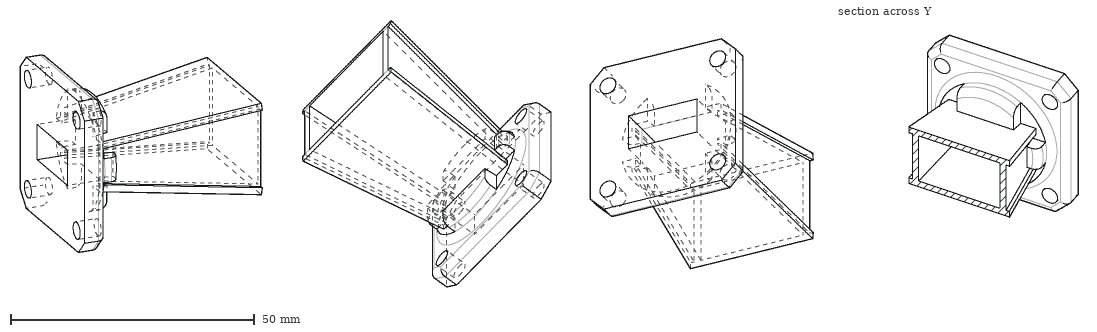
import cadquery as cq
import math

flange_size = 33.33
flange_thickness = 4.7
corner_chamfer = 3.2
edge_radius = 1.55

hole_diameter = 3.65
hole_offset_x = 12.6
hole_offset_z = 12.15

throat_width = 15.7
throat_height = 7.75

collar_diameter = 25.4
collar_base_end = flange_thickness + edge_radius
arm_end = collar_base_end + 2 * edge_radius
upright_arm_width = 13.25
side_arm_height = 5.3

horn_end = 40.9
wall = 1.55
plate_lip = 0.78
mouth_width = 23.47
mouth_height = 17.1

collar_radius = collar_diameter / 2
horn_length = horn_end - collar_base_end
plate_angle = math.atan2((mouth_height - throat_height) / 2, horn_length)
outer_rise = wall / math.cos(plate_angle)
side_offset = wall + plate_lip


def slab_along_y(width, height, start, end):
    """Rectangular block centred on the waveguide axis."""
    return cq.Workplane("XY").box(width, end - start, height).translate((0, (start + end) / 2, 0))


def plan_taper(offset):
    """Tall block with the horn's tapered plan, widened on each side by offset."""
    throat_x = throat_width / 2 + offset
    mouth_x = mouth_width / 2 + offset
    outline = [
        (-throat_x, collar_base_end),
        (throat_x, collar_base_end),
        (mouth_x, horn_end),
        (-mouth_x, horn_end),
    ]
    return cq.Workplane("XY").polyline(outline).close().extrude(flange_size / 2, both=True)


def side_taper(half_outline):
    """Wide block from an upper (Y, Z) outline mirrored below the axis."""
    lower = [(y, -z) for y, z in reversed(half_outline)]
    return cq.Workplane("YZ").polyline(half_outline + lower).close().extrude(flange_size / 2, both=True)


def make_flange():
    flange = slab_along_y(flange_size, flange_size, 0, flange_thickness)
    flange = flange.edges("|Y").chamfer(corner_chamfer)
    return flange.faces(">Y").edges().fillet(edge_radius)


def make_collar_base():
    """Round foot with a concave flare onto the flange."""
    foot_radius = collar_radius + edge_radius
    arc_reach = edge_radius * (1 - math.sqrt(0.5))
    profile = (
        cq.Workplane("XY")
        .lineTo(foot_radius, 0)
        .lineTo(foot_radius, flange_thickness)
        .threePointArc(
            (collar_radius + arc_reach, flange_thickness + arc_reach),
            (collar_radius, collar_base_end),
        )
        .lineTo(0, collar_base_end)
        .close()
    )
    return profile.revolve(360, (0, 0, 0), (0, 1, 0))


def make_collar_arms():
    """Cross-shaped part of a rounded disc, reaching out from the horn on four sides."""
    disc = cq.Workplane("XZ", origin=(0, collar_base_end, 0)).circle(collar_radius)
    disc = disc.extrude(collar_base_end - arm_end).faces(">Y").edges().fillet(edge_radius)
    upright = slab_along_y(upright_arm_width, collar_diameter, collar_base_end, arm_end)
    sideways = slab_along_y(collar_diameter, side_arm_height, collar_base_end, arm_end)
    return disc.intersect(upright.union(sideways))


inner_half_outline = [(collar_base_end, throat_height / 2), (horn_end, mouth_height / 2)]
outer_half_outline = [
    (collar_base_end, throat_height / 2 + outer_rise),
    (horn_end - wall * math.sin(plate_angle), mouth_height / 2 + wall * math.cos(plate_angle)),
    (horn_end, mouth_height / 2),
]
inner_wedge = side_taper(inner_half_outline)
plates = side_taper(outer_half_outline).cut(inner_wedge).intersect(plan_taper(side_offset))
side_walls = inner_wedge.intersect(plan_taper(wall))
horn_bore = inner_wedge.intersect(plan_taper(0))

throat = slab_along_y(throat_width, throat_height, 0, collar_base_end)
bolt_holes = (
    cq.Workplane("XZ")
    .rect(2 * hole_offset_x, 2 * hole_offset_z, forConstruction=True)
    .vertices()
    .circle(hole_diameter / 2)
    .extrude(-flange_thickness)
)

result = make_flange().union(make_collar_base()).union(make_collar_arms())
result = result.union(plates).union(side_walls)
result = result.cut(horn_bore).cut(throat).cut(bolt_holes)